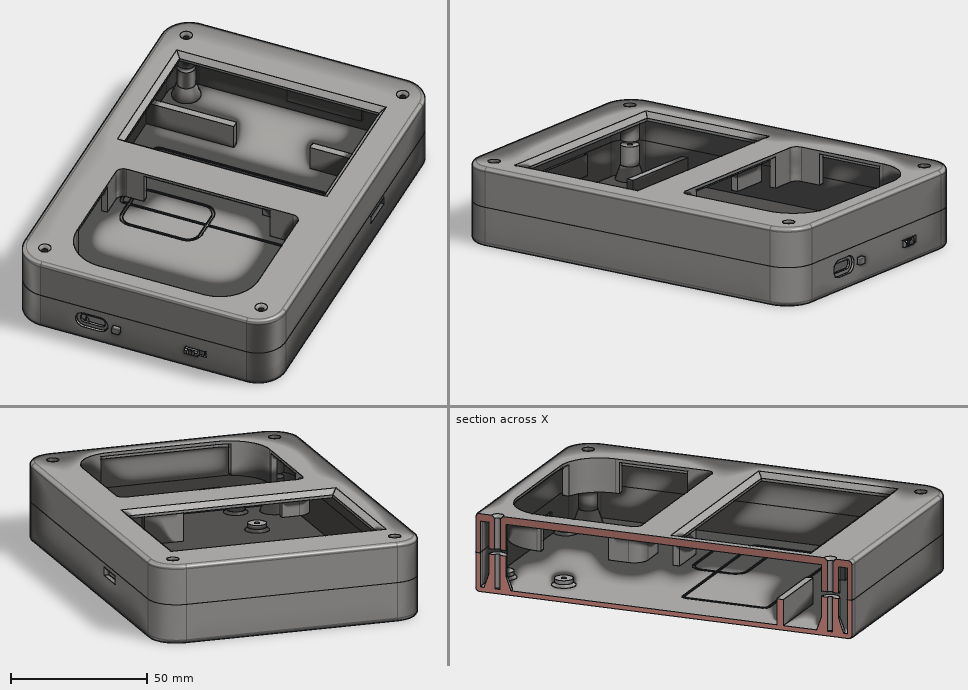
import cadquery as cq

WIDTH = 104.0
LENGTH = 150.0
HEIGHT = 30.1
BACK_Y = 75.7
FRONT_Y = BACK_Y - LENGTH
MID_Y = (BACK_Y + FRONT_Y) / 2
SPLIT_Z = HEIGHT / 2
CORNER_R = 11.0
EDGE_R = 1.5
WALL = 2.0
FLOOR = 2.0
PLATE = 3.0
INNER_X = WIDTH / 2 - WALL
INNER_FRONT_Y = FRONT_Y + WALL
INNER_BACK_Y = BACK_Y - WALL
PLATE_UNDERSIDE = HEIGHT - PLATE
HANGING_Z = 17.0

SCREW_INSET = 9.0
SCREW_X = WIDTH / 2 - SCREW_INSET
SCREW_DY = LENGTH / 2 - SCREW_INSET
SCREW_POINTS = [(sx * SCREW_X, MID_Y + sy * SCREW_DY) for sx in (-1, 1) for sy in (-1, 1)]
SCREW_HOLE_R = 0.9
SCREW_CLEARANCE_R = 1.0
SCREW_HEAD_R = 2.3
POST_R = 3.5
POST_FOOT_R = 5.5
POST_FOOT_H = 5.5

STANDOFF_X = 29.1
STANDOFF_BACK_Y = -44.8
STANDOFF_PITCH_Y = 23.5
STANDOFF_H = 2.5
STANDOFF_FOOT_R = 4.5
STANDOFF_FOOT_H = 1.0

RIB_GAP = 30.3
RIB_Y = 47.0
RIB_THICKNESS = 2.7
RIB_H = 10.0
GROOVE_WIDTH = 1.0
GROOVE_DEPTH = 0.6
BATTERY_X = (-42.0, 27.0)
BATTERY_Y = (0.5, 35.3)
BATTERY_R = 2.3
MODULE_X = (-38.5, -6.4)
MODULE_Y = (-10.5, 11.7)
MODULE_R = 5.5

PAD_X = (-5.5, 24.2)
PAD_THICKNESS = 1.2
PAD_Z = 6.7

CARD_SLOT_Y = (16.4, 28.5)
CARD_SLOT_Z = (10.3, 13.5)
JACK_Y = -34.5
JACK_Z = 7.5
JACK_R = 3.3
JACK_DEPTH = 1.0

PORT_Z = 9.0
USB_X = -20.6
USB_PLUG_SIZE = (12.9, 6.7)
USB_PLUG_DEPTH = 1.0
USB_SOCKET_SIZE = (9.8, 3.6)
USB_SOCKET_R = 1.5

PROTRUSION = 1.5
BUTTON_X = -10.6
BUTTON_WIDTH = 3.0
BUTTON_HEIGHT = 2.7
BUTTON_R = 0.5
BUTTON_TIP_R = 0.3

SWITCH_Z = 8.3
SWITCH_HEIGHT = 2.5
SWITCH_SPAN_Z = (SWITCH_Z - SWITCH_HEIGHT / 2, SWITCH_Z + SWITCH_HEIGHT / 2)
SWITCH_SLOT_X = (16.8, 25.0)
SWITCH_BASE_END_X = 24.0
SWITCH_KNOB_END_X = 22.0
SWITCH_RECESS = 0.8
GRIP_COUNT = 3
GRIP_PITCH = 1.0
GRIP_DEPTH = 0.6
KNOB_CHAMFER = 0.6

DISPLAY_X = (-43.0, 40.5)
DISPLAY_Y = (2.4, 57.7)
DISPLAY_BEVEL = 2.0
KEYBOARD_HALF_X = 36.2
KEYBOARD_Y = (-67.0, -12.1)
KEYBOARD_LIP = 1.2
KEYBOARD_TOP_R = 3.0
KEYBOARD_BOTTOM_R = 15.5

GUIDE_THICKNESS = 2.4
GUIDE_GAP_X = (-26.4, 24.0)
GUIDE_GAP_Y = (-50.0, -23.0)
BLOCK_X = (16.0, 31.4)
BLOCK_Y = (-0.6, 2.1)
BLOCK_Z = 15.6


def span_box(x, y, z):
    """Box between the (low, high) limits on each axis."""
    return (
        cq.Workplane("XY")
        .box(x[1] - x[0], y[1] - y[0], z[1] - z[0], centered=False)
        .translate((x[0], y[0], z[0]))
    )


def rounded_block(x, y, z, radius):
    """Box with its vertical edges rounded."""
    return span_box(x, y, z).edges("|Z").fillet(radius)


def disc(points, radius, z, height):
    """Upright cylinders at several points."""
    return cq.Workplane("XY").workplane(offset=z).pushPoints(points).circle(radius).extrude(height)


def cones(points, bottom_r, top_r, z, height):
    """Upright truncated cones at several points."""
    shape = cq.Workplane("XY")
    for x, y in points:
        cone = cq.Solid.makeCone(bottom_r, top_r, height, cq.Vector(x, y, z))
        shape = shape.add(cone)
    return shape


def case_outline(z_low, z_high, inset=0.0):
    """Rounded rectangular block of the case, shrunk on every side by the inset."""
    half = WIDTH / 2 - inset
    y = (FRONT_Y + inset, BACK_Y - inset)
    return rounded_block((-half, half), y, (z_low, z_high), CORNER_R - inset)


def front_plane(y):
    """Workplane at the given Y, facing -Y, with X to the right and Z up."""
    return cq.Workplane("XZ", origin=(0, y, 0))


def floor_groove(x, y, radius):
    """Narrow closed groove in the floor along a rounded rectangle."""
    z = (FLOOR - GROOVE_DEPTH, FLOOR)
    inner_x = (x[0] + GROOVE_WIDTH, x[1] - GROOVE_WIDTH)
    inner_y = (y[0] + GROOVE_WIDTH, y[1] - GROOVE_WIDTH)
    return rounded_block(x, y, z, radius).cut(rounded_block(inner_x, inner_y, z, radius - GROOVE_WIDTH))


def screw_posts():
    """Corner posts up to the split, their conical feet and their screw holes."""
    height = SPLIT_Z - FLOOR
    posts = disc(SCREW_POINTS, POST_R, FLOOR, height)
    feet = cones(SCREW_POINTS, POST_FOOT_R, POST_R, FLOOR, POST_FOOT_H)
    holes = disc(SCREW_POINTS, SCREW_HOLE_R, FLOOR, height)
    return posts, feet, holes


def board_standoffs():
    """Four short standoffs, their conical feet and their screw holes."""
    ys = (STANDOFF_BACK_Y, STANDOFF_BACK_Y - STANDOFF_PITCH_Y)
    points = [(sx * STANDOFF_X, y) for sx in (-1, 1) for y in ys]
    posts = disc(points, POST_R, FLOOR, STANDOFF_H)
    feet = cones(points, STANDOFF_FOOT_R, POST_R, FLOOR, STANDOFF_FOOT_H)
    holes = disc(points, SCREW_HOLE_R, FLOOR, STANDOFF_H)
    return posts, feet, holes


def display_ribs():
    """Two floor ribs running in from the side walls."""
    y = (RIB_Y - RIB_THICKNESS / 2, RIB_Y + RIB_THICKNESS / 2)
    z = (FLOOR, FLOOR + RIB_H)
    right = span_box((RIB_GAP / 2, INNER_X), y, z)
    return right.union(right.mirror("YZ"))


def usb_opening():
    """Shallow recess for the plug with a smaller socket opening through the wall."""
    width, height = USB_PLUG_SIZE
    plug = front_plane(FRONT_Y).center(USB_X, PORT_Z).slot2D(width, height).extrude(-USB_PLUG_DEPTH)
    socket = (
        front_plane(FRONT_Y)
        .center(USB_X, PORT_Z)
        .rect(*USB_SOCKET_SIZE)
        .extrude(-WALL)
        .edges("|Y")
        .fillet(USB_SOCKET_R)
    )
    return plug.union(socket)


def switch_slot():
    return span_box(SWITCH_SLOT_X, (FRONT_Y, INNER_FRONT_Y), SWITCH_SPAN_Z)


def button_bar(y_low, y_high):
    """Rounded bar of the button between two Y positions."""
    return (
        front_plane(y_low)
        .center(BUTTON_X, PORT_Z)
        .rect(BUTTON_WIDTH, BUTTON_HEIGHT)
        .extrude(y_low - y_high)
        .edges("|Y")
        .fillet(BUTTON_R)
    )


def side_openings():
    """Card slot through the +X wall and a blind round seat on its inner face."""
    card_slot = span_box((INNER_X, WIDTH / 2), CARD_SLOT_Y, CARD_SLOT_Z)
    jack_seat = (
        cq.Workplane("YZ", origin=(INNER_X, 0, 0)).center(JACK_Y, JACK_Z).circle(JACK_R).extrude(JACK_DEPTH)
    )
    return card_slot.union(jack_seat)


def make_base():
    base = case_outline(0, SPLIT_Z).faces("<Z").edges().fillet(EDGE_R)
    base = base.cut(case_outline(FLOOR, SPLIT_Z, WALL))
    base = base.cut(floor_groove(BATTERY_X, BATTERY_Y, BATTERY_R))
    base = base.cut(floor_groove(MODULE_X, MODULE_Y, MODULE_R))
    base = base.union(display_ribs())
    base = base.union(span_box(PAD_X, (INNER_BACK_Y - PAD_THICKNESS, INNER_BACK_Y), (PAD_Z, SPLIT_Z)))
    for posts, feet, holes in (screw_posts(), board_standoffs()):
        base = base.union(posts)
        for foot in feet.vals():
            base = base.union(cq.Workplane(foot))
        base = base.cut(holes)
    base = base.cut(usb_opening())
    base = base.cut(button_bar(FRONT_Y, INNER_FRONT_Y))
    base = base.cut(switch_slot())
    return base.cut(side_openings())


def display_window():
    """Rectangular window with a 45 degree bevel around its top."""
    width = DISPLAY_X[1] - DISPLAY_X[0] - 2 * DISPLAY_BEVEL
    length = DISPLAY_Y[1] - DISPLAY_Y[0] - 2 * DISPLAY_BEVEL
    return (
        cq.Workplane("XY", origin=(sum(DISPLAY_X) / 2, sum(DISPLAY_Y) / 2, PLATE_UNDERSIDE))
        .rect(width, length)
        .extrude(PLATE - DISPLAY_BEVEL)
        .faces(">Z")
        .wires()
        .toPending()
        .workplane(offset=DISPLAY_BEVEL)
        .rect(width + 2 * DISPLAY_BEVEL, length + 2 * DISPLAY_BEVEL)
        .loft(combine=True)
    )


def keyboard_shape(z_low, z_high, offset=0.0):
    """Keyboard outline with small back corners and large front corners."""
    half = KEYBOARD_HALF_X + offset
    y = (KEYBOARD_Y[0] - offset, KEYBOARD_Y[1] + offset)
    block = span_box((-half, half), y, (z_low, z_high))
    block = block.edges("|Z and >Y").fillet(KEYBOARD_TOP_R + offset)
    return block.edges("|Z and <Y").fillet(KEYBOARD_BOTTOM_R + offset)


def keyboard_guides():
    """Wall around the keyboard window, left standing only at its four corners."""
    z = (HANGING_Z, HEIGHT - KEYBOARD_LIP)
    ring = keyboard_shape(*z, GUIDE_THICKNESS).cut(keyboard_shape(*z))
    ring = ring.cut(span_box(GUIDE_GAP_X, (FRONT_Y, BACK_Y), z))
    return ring.cut(span_box((-WIDTH, WIDTH), GUIDE_GAP_Y, z))


def make_lid():
    lid = case_outline(SPLIT_Z, HEIGHT).faces(">Z").edges().fillet(EDGE_R)
    lid = lid.cut(case_outline(SPLIT_Z, PLATE_UNDERSIDE, WALL))
    lid = lid.cut(display_window())
    lid = lid.cut(keyboard_shape(PLATE_UNDERSIDE, HEIGHT))
    lid = lid.cut(keyboard_shape(PLATE_UNDERSIDE, HEIGHT - KEYBOARD_LIP, GUIDE_THICKNESS))
    lid = lid.union(keyboard_guides())
    lid = lid.union(span_box(BLOCK_X, BLOCK_Y, (BLOCK_Z, PLATE_UNDERSIDE)))
    lid = lid.union(disc(SCREW_POINTS, POST_R, HANGING_Z, PLATE_UNDERSIDE - HANGING_Z))
    lid = lid.cut(disc(SCREW_POINTS, SCREW_CLEARANCE_R, HANGING_Z, HEIGHT - HANGING_Z))
    depth = SCREW_HEAD_R - SCREW_CLEARANCE_R
    for head in cones(SCREW_POINTS, SCREW_CLEARANCE_R, SCREW_HEAD_R, HEIGHT - depth, depth).vals():
        lid = lid.cut(cq.Workplane(head))
    return lid


def make_button():
    """Button passing through the front wall, rounded at its tip."""
    return button_bar(FRONT_Y - PROTRUSION, INNER_FRONT_Y).faces("<Y").edges().fillet(BUTTON_TIP_R)


def make_slider():
    """Slider plate in the slot with a protruding, V-grooved knob."""
    start_x = SWITCH_SLOT_X[0]
    tip_y = FRONT_Y - PROTRUSION
    plate = span_box((start_x, SWITCH_BASE_END_X), (FRONT_Y + SWITCH_RECESS, INNER_FRONT_Y), SWITCH_SPAN_Z)
    knob = span_box((start_x, SWITCH_KNOB_END_X), (tip_y, INNER_FRONT_Y), SWITCH_SPAN_Z)
    knob = knob.faces("<Y").edges("|X").chamfer(KNOB_CHAMFER)
    slider = plate.union(knob)
    knob_mid_x = (start_x + SWITCH_KNOB_END_X) / 2
    for i in range(GRIP_COUNT):
        x = knob_mid_x + (i - (GRIP_COUNT - 1) / 2) * GRIP_PITCH
        groove = (
            cq.Workplane("XY", origin=(x, tip_y, SWITCH_SPAN_Z[0]))
            .polyline([(-GRIP_PITCH / 2, 0), (GRIP_PITCH / 2, 0), (0, GRIP_DEPTH)])
            .close()
            .extrude(SWITCH_HEIGHT)
        )
        slider = slider.cut(groove)
    return slider


base = make_base()
lid = make_lid()
button = make_button()
slider = make_slider()

result = cq.Compound.makeCompound([body.solids().val() for body in (base, lid, button, slider)])